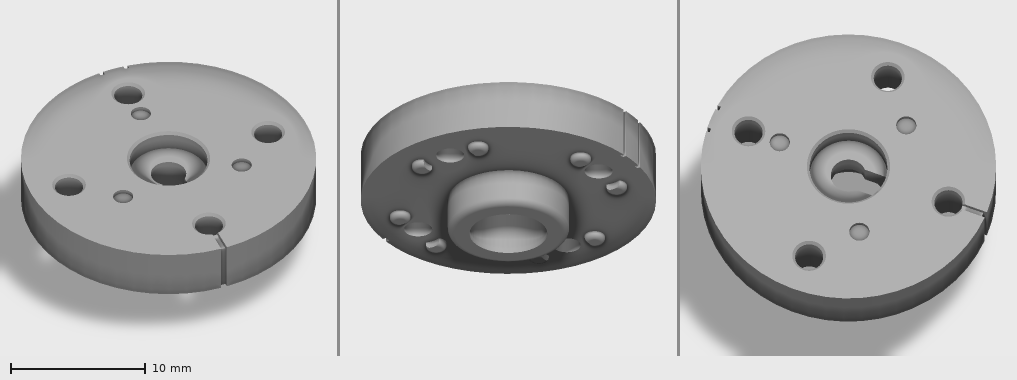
import cadquery as cq
import math

disc_radius = 11.0
disc_thickness = 3.85
hub_radius = 4.525
hub_height = 2.85
hub_fillet = 0.5

recess_radius = 2.9
recess_depth = 1.5
web_thickness = 1.6
web_top = disc_thickness - recess_depth
web_bottom = web_top - web_thickness
recess_chamfer = 0.2
bore_radius = 1.32
key_width = 1.8

mount_count = 4
mount_pitch_radius = 8.0
mount_radius = 1.05
mount_chamfer = 0.2

pad_radius = 0.775
pad_offset = 2.475
pad_height = 0.53
pad_fillet = 0.35
pad_clearance_radius = 2.05

dimple_count = 3
dimple_pitch_radius = 5.5
dimple_radius = 0.75
dimple_depth = 0.35

rim_notch_offset = 0.98
rim_notch_width = 0.33
rim_notch_depth = 0.33
index_groove_width = 0.46
index_groove_depth = 0.32
index_notch_depth = 0.3
rim_overcut = 0.5


def ring_points(count, radius, start_angle=0.0):
    """Evenly spaced points on a circle about the Z axis."""
    angles = [math.radians(start_angle + 360.0 * i / count) for i in range(count)]
    return [(radius * math.cos(a), radius * math.sin(a)) for a in angles]


def make_box(x_start, x_end, y_center, width, z_bottom, z_top):
    """Axis-aligned box that is centred on y_center across its width."""
    box = cq.Workplane("XY").box(x_end - x_start, width, z_top - z_bottom, centered=(False, True, False))
    return box.translate((x_start, y_center, z_bottom))


def make_cylinder(radius, z_bottom, z_top):
    """Cylinder on the Z axis."""
    return cq.Workplane("XY").workplane(offset=z_bottom).circle(radius).extrude(z_top - z_bottom)


def make_body():
    """Flat disc with a round hub below it."""
    disc = cq.Workplane("XY").circle(disc_radius).extrude(disc_thickness)
    hub = cq.Workplane("XY").circle(hub_radius).extrude(-hub_height)
    hub = hub.faces("<Z").edges().fillet(hub_fillet)
    return disc.union(hub)


def make_pad_pair():
    """Round pads on both sides of the +X mounting hole, trimmed by a circle around that hole."""
    centers = [(mount_pitch_radius, side * pad_offset) for side in (-1, 1)]
    pads = cq.Workplane("XY").pushPoints(centers).circle(pad_radius).extrude(-pad_height)
    pads = pads.faces("<Z").edges().fillet(pad_fillet)
    hole_axis = cq.Workplane("XY").center(mount_pitch_radius, 0)
    return pads.cut(hole_axis.circle(pad_clearance_radius).extrude(-pad_height))


def add_pads(body):
    pads = make_pad_pair()
    for i in range(mount_count):
        body = body.union(pads.rotate((0, 0, 0), (0, 0, 1), 360.0 * i / mount_count))
    return body


def chamfered_hole(points, radius, depth, chamfer):
    """Cutter for holes from the top face with a 45 degree chamfer at the mouth."""
    top = cq.Workplane("XY").workplane(offset=disc_thickness)
    holes = top.pushPoints(points).circle(radius).extrude(-depth)
    mouths = top.pushPoints(points).circle(radius + chamfer).extrude(-chamfer, taper=45)
    return holes.union(mouths)


def shape_center(body):
    """Opening through disc and hub, closed by a web with a bore and a keyway out to the wall."""
    body = body.cut(chamfered_hole([(0, 0)], recess_radius, disc_thickness + hub_height, recess_chamfer))
    web = make_cylinder(recess_radius, web_bottom, web_top)
    bore = make_cylinder(bore_radius, web_bottom, web_top)
    keyway = make_box(0, hub_radius, 0, key_width, web_bottom, web_top)
    return body.union(web.cut(bore).cut(keyway))


def cut_mounting_holes(body):
    points = ring_points(mount_count, mount_pitch_radius)
    return body.cut(chamfered_hole(points, mount_radius, disc_thickness, mount_chamfer))


def cut_dimples(body):
    points = ring_points(dimple_count, dimple_pitch_radius, 180.0)
    top = cq.Workplane("XY").workplane(offset=disc_thickness)
    return body.cut(top.pushPoints(points).circle(dimple_radius).extrude(-dimple_depth))


def cut_rim_marks(body):
    """Two full-height notches on the -X rim; a notch and a radial groove on the +X side."""
    past_rim = disc_radius + rim_overcut
    for side in (-1, 1):
        notch_floor = rim_notch_depth - disc_radius
        notch_y = side * rim_notch_offset
        body = body.cut(make_box(-past_rim, notch_floor, notch_y, rim_notch_width, 0, disc_thickness))
    index_floor = disc_radius - index_notch_depth
    body = body.cut(make_box(index_floor, past_rim, 0, index_groove_width, 0, disc_thickness))
    groove_floor = disc_thickness - index_groove_depth
    groove = make_box(mount_pitch_radius, past_rim, 0, index_groove_width, groove_floor, disc_thickness)
    return body.cut(groove)


result = make_body()
result = add_pads(result)
result = shape_center(result)
result = cut_mounting_holes(result)
result = cut_dimples(result)
result = cut_rim_marks(result)